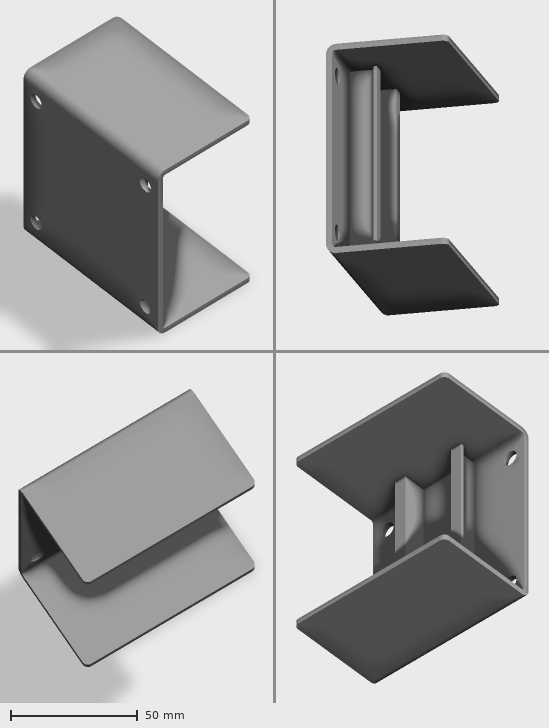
import cadquery as cq

width = 80.0
depth = 49.5
height = 87.0
sheet = 2.5
outer_bend = 4.0
inner_bend = outer_bend - sheet
flange_corner_radius = 2.5

hole_diameter = 6.6
hole_spacing = 65.0

rail_depth = 12.2
rail_sheet = 1.5
rail_width = 35.0
crown_width = 27.0
rail_end_gap = 0.35
rail_length = height - 2 * (sheet + rail_end_gap)


def centered_box(size_x, y_start, size_y, size_z):
    """Box centred on X and Z, reaching toward +Y from y_start."""
    return cq.Workplane("XY").box(size_x, size_y, size_z).translate((0, y_start + size_y / 2, 0))


def make_bracket():
    outer = centered_box(width, 0, depth, height)
    outer = outer.edges("|X and <Y").fillet(outer_bend)
    outer = outer.edges("|Z and >Y").fillet(flange_corner_radius)
    inner = centered_box(width, sheet, depth, height - 2 * sheet)
    inner = inner.edges("|X and <Y").fillet(inner_bend)
    return outer.cut(inner)


def make_mounting_holes():
    return (
        cq.Workplane("XZ")
        .rect(hole_spacing, hole_spacing, forConstruction=True)
        .vertices()
        .circle(hole_diameter / 2)
        .extrude(-sheet)
    )


def make_rail():
    brim_start = sheet + rail_depth - rail_sheet
    channel_width = crown_width - 2 * rail_sheet
    crown = centered_box(crown_width, sheet, rail_depth, rail_length)
    brims = centered_box(rail_width, brim_start, rail_sheet, rail_length)
    channel = centered_box(channel_width, sheet + rail_sheet, rail_depth, rail_length)
    rail = crown.union(brims).cut(channel)
    return rail.edges("|X and <Y").fillet(inner_bend - rail_end_gap)


result = make_bracket().cut(make_mounting_holes()).union(make_rail())